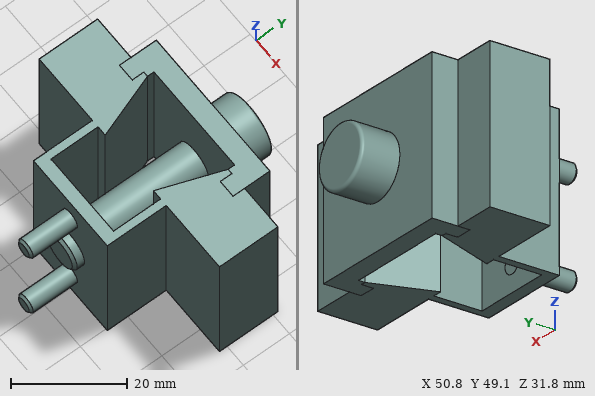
import cadquery as cq


height = 31.8
jaw_span = 50.8
channel_width = 20.8
wall_thickness = 1.6
floor_thickness = 2.6
jaw_front_y = 12.8
jaw_thickness = 12.7
jaw_back_y = jaw_front_y + jaw_thickness
jaw_front_gap = 13.6
jaw_back_gap = 22.7

cap_width = 32.0
cap_thickness = 4.1
cap_back_y = 31.0
cap_inner_y = cap_back_y - cap_thickness
leg_width = 3.6
leg_depth = 2.5
leg_tip_y = jaw_back_y - leg_depth

shank_diameter = 8.0
shank_protrusion = 2.2
shank_chamfer = 0.6
head_diameter = 13.0
head_length = 8.0
head_rounding = 0.65

pin_diameter = 4.0
pin_protrusion = 10.1
pin_chamfer = 0.5
pin_spacing = 20.6
pin_heights = [-pin_spacing / 2, pin_spacing / 2]


def extrude_symmetric_outline(right_half):
    """Mirror the right half of an XY outline about X = 0 and extrude it over the full height."""
    left_half = [(-x, y) for x, y in reversed(right_half)]
    outline = cq.Workplane("XY").polyline(right_half + left_half).close()
    return outline.extrude(height / 2, both=True)


def rod(diameter, start_y, end_y, z=0):
    """Round bar parallel to Y."""
    base = cq.Workplane("XZ", origin=(0, start_y, z)).circle(diameter / 2)
    return base.extrude(start_y - end_y)


def make_screw():
    """Cap screw with a rounded head and a chamfered tip."""
    shank = rod(shank_diameter, -shank_protrusion, cap_back_y)
    shank = shank.faces("<Y").chamfer(shank_chamfer)
    head = rod(head_diameter, cap_back_y, cap_back_y + head_length)
    head = head.faces(">Y").edges().fillet(head_rounding)
    return shank.union(head)


def make_pin(z):
    """Locating pin, flush with the inside of the housing floor and chamfered at its free end."""
    pin = rod(pin_diameter, -pin_protrusion, floor_thickness, z)
    return pin.faces("<Y").chamfer(pin_chamfer)


def make_cap():
    """Flat bar with a leg at each end that hooks into the housing jaws."""
    leg_inner_x = cap_width / 2 - leg_width
    cap = extrude_symmetric_outline([
        (cap_width / 2, cap_back_y),
        (cap_width / 2, leg_tip_y),
        (leg_inner_x, leg_tip_y),
        (leg_inner_x, jaw_back_y),
        (jaw_back_gap / 2, jaw_back_y),
        (jaw_back_gap / 2, cap_inner_y),
    ])
    return cap.cut(rod(shank_diameter, cap_inner_y, cap_back_y))


def make_housing():
    """U-shaped channel with a thick tapered jaw on each side, slotted for the cap legs."""
    channel_inner_x = channel_width / 2 - wall_thickness
    slot_outer_x = cap_width / 2
    slot_inner_x = slot_outer_x - leg_width
    housing = extrude_symmetric_outline([
        (channel_width / 2, 0),
        (channel_width / 2, jaw_front_y),
        (jaw_span / 2, jaw_front_y),
        (jaw_span / 2, jaw_back_y),
        (slot_outer_x, jaw_back_y),
        (slot_outer_x, leg_tip_y),
        (slot_inner_x, leg_tip_y),
        (slot_inner_x, jaw_back_y),
        (jaw_back_gap / 2, jaw_back_y),
        (jaw_front_gap / 2, jaw_front_y),
        (channel_inner_x, jaw_front_y),
        (channel_inner_x, floor_thickness),
    ])
    housing = housing.cut(rod(shank_diameter, 0, floor_thickness))
    for z in pin_heights:
        housing = housing.cut(rod(pin_diameter, 0, floor_thickness, z))
    return housing


housing = make_housing()
cap = make_cap()
screw = make_screw()
pins = [make_pin(z) for z in pin_heights]

result = cq.Compound.makeCompound([
    housing.val(),
    cap.val(),
    screw.val(),
    *[pin.val() for pin in pins],
])